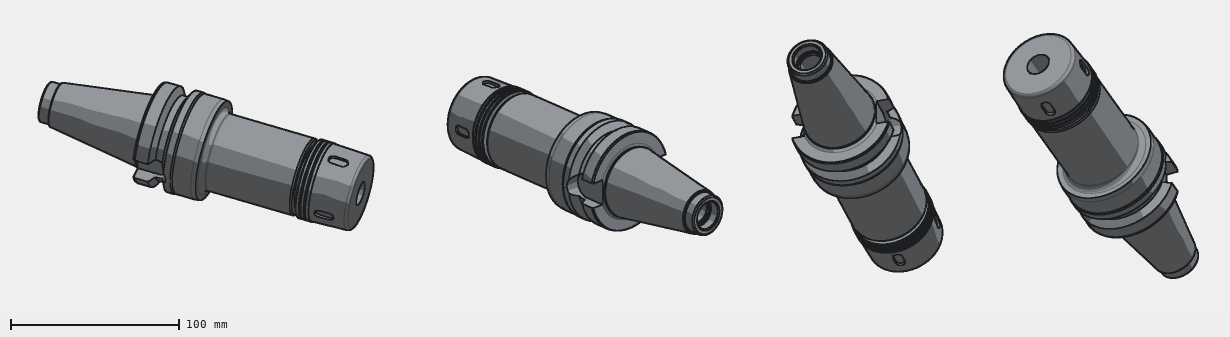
import cadquery as cq
import math

total_length = 200.5

pilot_radius = 25.0 / 2
pilot_chamfer_depth = 1.0
pilot_chamfer_length = 0.8
pilot_length = 6.8
shoulder_chamfer = 0.6

taper_ratio = 7 / 24
taper_end_radius = 22.2
taper_end = 65.5
relief_radius = 43.5 / 2
face_cone_start = 66.7
face_cone_radius = 23.8

flange_start = 67.3
front_rim_radius = 31.3
front_rim_relief = 0.5
front_rim_relief_length = 1.2
front_rim_end = 76.8
groove_radius = 26.5
groove_start = 79.8
groove_end = 84.2
flange_radius = 63.0 / 2
collar_start = 87.0
collar_end = 91.4
rear_rim_start = 92.5
rear_rim_radius = 31.0
rear_taper_start = 104.2
rear_taper_drop = 0.5
flange_end = 107.2

body_radius = 47.7 / 2
seat_step = 0.1
seat_chamfer_length = 0.6
seat_fillet = 3.2
body_chamfer_length = 1.2
body_chamfer_depth = 0.6
body_end = 165.5
neck_radius = 39.0 / 2

nut_start = 168.0
nut_radius = 48.9 / 2
nut_chamfer = 0.6
nut_band_end = 176.5
nut_cone_radius = 24.0
nut_tip_radius = 23.2
nut_tip_fillet = 1.8
nut_groove_positions = (171.0, 174.0)
nut_groove_half_width = 0.6
nut_groove_depth = 0.6

spanner_slot_center = 186.2
spanner_slot_length = 12.0
spanner_slot_width = 5.8
spanner_slot_floor = 21.8
spanner_slot_count = 4

key_slot_width = 16.0
key_slot_end = 88.4
key_slot_floor = 22.5

bore_radius = 14.2 / 2
counterbore_radius = 17.0 / 2
counterbore_depth = 6.5
step_radius = 16.0 / 2
step_end = 8.2
step_chamfer_length = 0.6
mouth_radius = 18.6 / 2
mouth_chamfer_length = 0.8


def turned_body():
    """Revolve the outer profile of the holder about the X axis."""
    shoulder_radius = taper_end_radius - (taper_end - pilot_length) * taper_ratio / 2
    seat_radius = body_radius + seat_step
    seat_end = flange_end + seat_fillet
    arc_mid_ratio = 1 - math.sqrt(0.5)
    fillet_mid_offset = seat_fillet * arc_mid_ratio
    tip_mid_offset = nut_tip_fillet * arc_mid_ratio

    profile = (
        cq.Workplane("XY")
        .moveTo(0, 0)
        .lineTo(0, pilot_radius - pilot_chamfer_depth)
        .lineTo(pilot_chamfer_length, pilot_radius)
        .lineTo(pilot_length, pilot_radius)
        .lineTo(pilot_length, shoulder_radius - shoulder_chamfer)
        .lineTo(pilot_length + shoulder_chamfer, shoulder_radius + shoulder_chamfer * taper_ratio / 2)
        .lineTo(taper_end, taper_end_radius)
        .lineTo(taper_end, relief_radius)
        .lineTo(face_cone_start, relief_radius)
        .lineTo(flange_start, face_cone_radius)
        .lineTo(flange_start, front_rim_radius - front_rim_relief)
        .lineTo(flange_start + front_rim_relief_length, front_rim_radius)
        .lineTo(front_rim_end, front_rim_radius)
        .lineTo(groove_start, groove_radius)
        .lineTo(groove_end, groove_radius)
        .lineTo(collar_start, flange_radius)
        .lineTo(collar_end, flange_radius)
        .lineTo(rear_rim_start, rear_rim_radius)
        .lineTo(rear_taper_start, rear_rim_radius)
        .lineTo(flange_end, rear_rim_radius - rear_taper_drop)
        .lineTo(flange_end, seat_radius + seat_fillet)
        .threePointArc(
            (flange_end + fillet_mid_offset, seat_radius + fillet_mid_offset),
            (seat_end, seat_radius),
        )
        .lineTo(seat_end + seat_chamfer_length, body_radius)
        .lineTo(body_end - body_chamfer_length, body_radius)
        .lineTo(body_end, body_radius - body_chamfer_depth)
        .lineTo(body_end, neck_radius)
        .lineTo(nut_start, neck_radius)
        .lineTo(nut_start, nut_radius - nut_chamfer)
        .lineTo(nut_start + nut_chamfer, nut_radius)
    )
    for groove_x in nut_groove_positions:
        profile = (
            profile
            .lineTo(groove_x - nut_groove_half_width, nut_radius)
            .lineTo(groove_x, nut_radius - nut_groove_depth)
            .lineTo(groove_x + nut_groove_half_width, nut_radius)
        )
    profile = (
        profile
        .lineTo(nut_band_end, nut_radius)
        .lineTo(nut_band_end, nut_cone_radius)
        .lineTo(total_length - nut_tip_fillet, nut_tip_radius)
        .threePointArc(
            (total_length - tip_mid_offset, nut_tip_radius - tip_mid_offset),
            (total_length, nut_tip_radius - nut_tip_fillet),
        )
        .lineTo(total_length, 0)
        .close()
    )
    return profile.revolve(360, (0, 0, 0), (1, 0, 0))


def stepped_bore():
    """Through bore with a chamfered counterbore at the shank end."""
    return (
        cq.Workplane("XY")
        .moveTo(0, 0)
        .lineTo(0, mouth_radius)
        .lineTo(mouth_chamfer_length, counterbore_radius)
        .lineTo(counterbore_depth, counterbore_radius)
        .lineTo(counterbore_depth + step_chamfer_length, step_radius)
        .lineTo(step_end, step_radius)
        .lineTo(step_end + step_chamfer_length, bore_radius)
        .lineTo(total_length, bore_radius)
        .lineTo(total_length, 0)
        .close()
        .revolve(360, (0, 0, 0), (1, 0, 0))
    )


def key_slots():
    """Two round-ended slots on opposite Y sides, open toward the shank."""
    slot_end_radius = key_slot_width / 2
    slot_start = taper_end
    straight_length = key_slot_end - slot_end_radius - slot_start
    slot = (
        cq.Workplane("XZ", origin=(slot_start, -key_slot_floor, 0))
        .moveTo(0, -slot_end_radius)
        .lineTo(straight_length, -slot_end_radius)
        .threePointArc((straight_length + slot_end_radius, 0), (straight_length, slot_end_radius))
        .lineTo(0, slot_end_radius)
        .close()
        .extrude(flange_radius)
    )
    return slot.union(slot.rotate((0, 0, 0), (1, 0, 0), 180))


def spanner_slots():
    """Flat-bottomed oblong slots spaced evenly around the nut."""
    slot = (
        cq.Workplane("XY", origin=(spanner_slot_center, 0, spanner_slot_floor))
        .slot2D(spanner_slot_length, spanner_slot_width)
        .extrude(nut_radius)
    )
    slots = cq.Workplane("XY")
    for index in range(spanner_slot_count):
        angle = index * 360 / spanner_slot_count
        slots = slots.union(slot.rotate((0, 0, 0), (1, 0, 0), angle))
    return slots


result = turned_body().cut(stepped_bore()).cut(key_slots()).cut(spanner_slots())